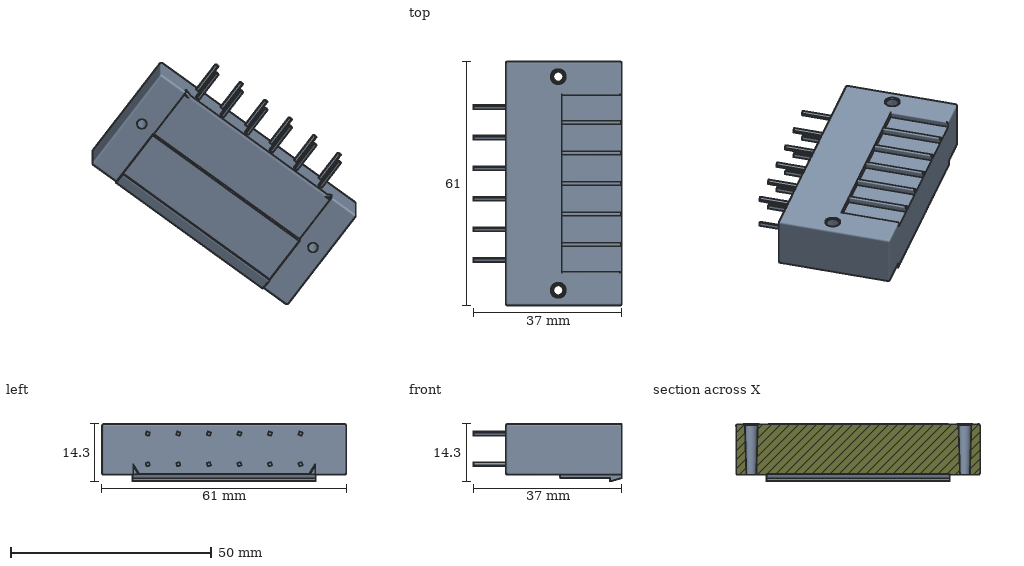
import cadquery as cq
import math

BODY_LENGTH = 28.95
BODY_WIDTH = 60.95
BODY_HEIGHT = 12.75
EDGE_RADIUS = 0.55

PIN_PITCH = 7.6
PIN_COLUMNS = 6
PIN_SIDE = 0.85
PIN_LENGTH = 8.05
PIN_ROOT = 1.2
PIN_TWIST = 20.0
LOWER_PIN_Z = 2.7

HOLE_X = 13.1
HOLE_Y = 26.65
HOLE_BOTTOM_DIAMETER = 2.45
HOLE_NECK_DIAMETER = 3.2
HOLE_TOP_DIAMETER = 3.8

RECESS_START_X = 14.0
RECESS_DEPTH = 1.35
RECESS_FLOOR_Z = BODY_HEIGHT - RECESS_DEPTH
RECESS_WIDTH = 44.0
RIB_WIDTH = 0.9
WALL_ROUND = 0.3

PLATE_WIDTH = 45.7
PLATE_START_X = 13.4
PLATE_THICKNESS = 0.8
PLATE_LEAD = 0.25
HOOK_START_X = 25.95
HOOK_TIP_LENGTH = 0.5
HOOK_DROP = 1.5

RELIEF_DEPTH = 0.2
NOTCH_WIDTH = 45.35
NOTCH_HEIGHT = 2.7
NOTCH_DEPTH = 0.8
TONGUE_BOTTOM_WIDTH = 42.55
TONGUE_DRAFT_RUN = 0.2


def column_y(index):
    """Y position of a pin column; the columns are centred on Y = 0."""
    return (index - (PIN_COLUMNS - 1) / 2) * PIN_PITCH


def body():
    block = cq.Workplane("XY").box(BODY_LENGTH, BODY_WIDTH, BODY_HEIGHT, centered=(False, True, False))
    return block.edges().fillet(EDGE_RADIUS)


def recess():
    """Volume removed from the top face; its upper side edges flare out as rounds."""
    half_width = RECESS_WIDTH / 2
    round_start_z = BODY_HEIGHT - WALL_ROUND
    section = (
        cq.Workplane("YZ", origin=(RECESS_START_X, 0, 0))
        .moveTo(-half_width, RECESS_FLOOR_Z)
        .lineTo(half_width, RECESS_FLOOR_Z)
        .lineTo(half_width, round_start_z)
        .radiusArc((half_width + WALL_ROUND, BODY_HEIGHT), WALL_ROUND)
        .lineTo(-half_width - WALL_ROUND, BODY_HEIGHT)
        .radiusArc((-half_width, round_start_z), WALL_ROUND)
        .close()
    )
    return section.extrude(BODY_LENGTH - RECESS_START_X)


def rib(y):
    """Rib standing on the recess floor, level with the top face and rounded along its free top edges."""
    rib_length = BODY_LENGTH - RECESS_START_X
    bar = cq.Workplane("XY", origin=(RECESS_START_X, y, RECESS_FLOOR_Z))
    bar = bar.box(rib_length, RIB_WIDTH, RECESS_DEPTH, centered=(False, True, False))
    return bar.faces(">Z").edges("not <X").fillet(WALL_ROUND)


def screw_hole():
    """Volume of one screw hole, drawn as a half section turned about its axis."""
    countersink_depth = (HOLE_TOP_DIAMETER - HOLE_NECK_DIAMETER) / 2
    half_section = [
        (0, 0),
        (HOLE_BOTTOM_DIAMETER / 2, 0),
        (HOLE_NECK_DIAMETER / 2, BODY_HEIGHT - countersink_depth),
        (HOLE_TOP_DIAMETER / 2, BODY_HEIGHT),
        (0, BODY_HEIGHT),
    ]
    return cq.Workplane("XZ").polyline(half_section).close().revolve(360, (0, 0, 0), (0, 1, 0))


def keying_notch():
    """Volume removed from the lower back edge: bottom relief plus a notch around the tongue."""
    relief = cq.Workplane("XY").box(PLATE_START_X, NOTCH_WIDTH, RELIEF_DEPTH, centered=(False, True, False))
    notch = cq.Workplane("XY").box(NOTCH_DEPTH, NOTCH_WIDTH, NOTCH_HEIGHT, centered=(False, True, False))
    tongue_section = [
        (-TONGUE_BOTTOM_WIDTH / 2, RELIEF_DEPTH + TONGUE_DRAFT_RUN),
        (TONGUE_BOTTOM_WIDTH / 2, RELIEF_DEPTH + TONGUE_DRAFT_RUN),
        (NOTCH_WIDTH / 2, NOTCH_HEIGHT),
        (-NOTCH_WIDTH / 2, NOTCH_HEIGHT),
    ]
    draft_angle = math.degrees(math.atan2(TONGUE_DRAFT_RUN, NOTCH_DEPTH))
    tongue = cq.Workplane("YZ").polyline(tongue_section).close().extrude(NOTCH_DEPTH, taper=-draft_angle)
    return relief.union(notch.cut(tongue))


def latch_plate():
    """Plate with a ramped hook; it reaches up into the body to fill the rounded front edge."""
    profile = [
        (PLATE_START_X, EDGE_RADIUS),
        (PLATE_START_X, 0),
        (PLATE_START_X + PLATE_LEAD, -PLATE_THICKNESS),
        (HOOK_START_X, -PLATE_THICKNESS),
        (HOOK_START_X, -HOOK_DROP),
        (HOOK_START_X + HOOK_TIP_LENGTH, -HOOK_DROP),
        (BODY_LENGTH, -PLATE_THICKNESS),
        (BODY_LENGTH, EDGE_RADIUS),
    ]
    return cq.Workplane("XZ").polyline(profile).close().extrude(PLATE_WIDTH / 2, both=True)


def pin(y, z, twist):
    """Square pin pointing along -X, turned about its own axis."""
    bar = cq.Workplane("YZ", origin=(-PIN_LENGTH, 0, 0)).rect(PIN_SIDE, PIN_SIDE)
    bar = bar.extrude(PIN_LENGTH + PIN_ROOT)
    return bar.rotate((0, 0, 0), (1, 0, 0), twist).translate((0, y, z))


result = body().cut(recess()).cut(keying_notch()).union(latch_plate())

for column_index in range(PIN_COLUMNS - 1):
    rib_y = column_y(column_index) + PIN_PITCH / 2
    result = result.union(rib(rib_y))

for hole_y in (-HOLE_Y, HOLE_Y):
    result = result.cut(screw_hole().translate((HOLE_X, hole_y, 0)))

for column_index in range(PIN_COLUMNS):
    pin_y = column_y(column_index)
    result = result.union(pin(pin_y, LOWER_PIN_Z, -PIN_TWIST))
    result = result.union(pin(pin_y, LOWER_PIN_Z + PIN_PITCH, PIN_TWIST))